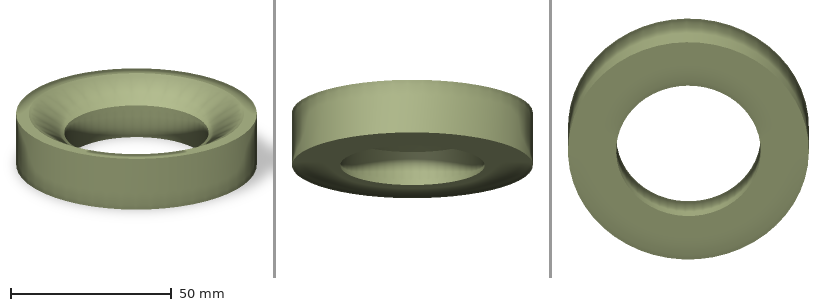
import cadquery as cq
import math

outer_radius = 37.5
bore_radius = 22.5
seat_radius = 33.5
height = 17.0
seat_slope = 30.0

seat_depth = (seat_radius - bore_radius) * math.tan(math.radians(seat_slope))

profile = (
    cq.Workplane("XZ")
    .moveTo(bore_radius, 0)
    .lineTo(outer_radius, 0)
    .lineTo(outer_radius, height)
    .lineTo(seat_radius, height)
    .lineTo(bore_radius, height - seat_depth)
    .close()
)

result = profile.revolve(360, (0, 0, 0), (0, 1, 0))